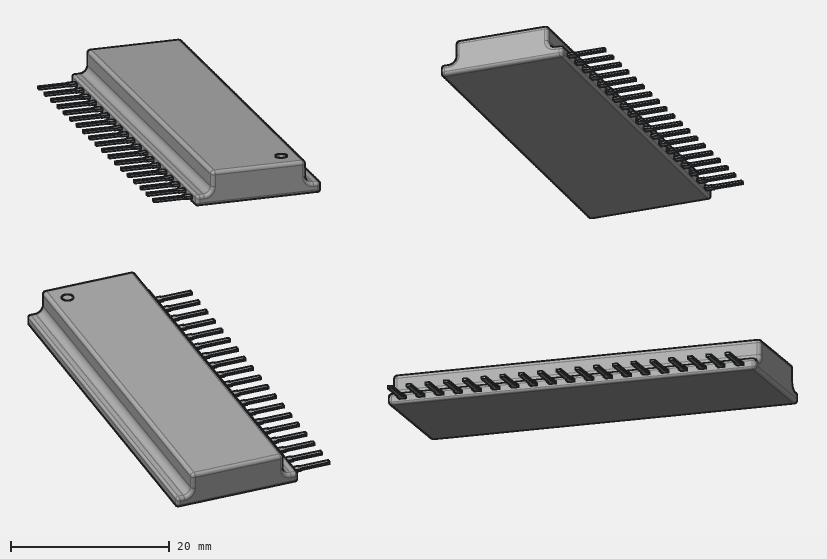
import cadquery as cq

length = 49.0
base_width = 16.6
cover_width = 12.6
base_height = 1.45
total_height = 4.5
cove_radius = 1.0
end_round = 0.5
cover_round = 0.5
base_round = 0.35

pin_count = 19
pin_pitch = 2.5
pin_length = 5.0
pin_width = 0.6
pin_thickness = 0.3
shoulder_length = 1.0
shoulder_width = 0.9
pin_embed = 0.5

mark_diameter = 1.5
mark_depth = 0.1
mark_from_end = 2.85
mark_from_back = 4.35

half_base = base_width / 2
half_cover = cover_width / 2


def make_profile():
    """Cross-section in YZ: a wide base coved up into a narrower cover."""
    cove_top = base_height + cove_radius
    cove_foot = half_cover + cove_radius
    cove_offset = cove_radius * (1 - 0.5 ** 0.5)
    cove_mid = (half_cover + cove_offset, base_height + cove_offset)
    return (
        cq.Workplane("YZ", origin=(-length / 2, 0, 0))
        .moveTo(-half_base, 0)
        .lineTo(half_base, 0)
        .lineTo(half_base, base_height)
        .lineTo(cove_foot, base_height)
        .threePointArc(cove_mid, (half_cover, cove_top))
        .lineTo(half_cover, total_height)
        .lineTo(-half_cover, total_height)
        .lineTo(-half_cover, cove_top)
        .threePointArc((-cove_mid[0], cove_mid[1]), (-cove_foot, base_height))
        .lineTo(-half_base, base_height)
        .close()
    )


def lengthwise_edges(body, half_width, low, high):
    """Lengthwise edges on both sides at +-half_width, between two heights."""
    margin = 0.05
    found = []
    for side in (-1, 1):
        y = side * half_width
        box = cq.selectors.BoxSelector(
            (-length, y - margin, low - margin), (length, y + margin, high + margin)
        )
        found += body.edges("|X").edges(box).vals()
    return body.newObject(found)


def make_body():
    """Extruded profile with rounded long edges, then rounded ends."""
    body = make_profile().extrude(length)
    body = lengthwise_edges(body, half_base, 0, base_height).fillet(base_round)
    body = lengthwise_edges(body, half_cover, total_height, total_height).fillet(cover_round)
    return body.faces("<X or >X").edges().fillet(end_round)


def make_blade(x, width, reach):
    """Flat bar reaching out of the base in -Y, rooted inside the base."""
    depth = reach + pin_embed
    middle_y = -half_base + pin_embed - depth / 2
    bar = cq.Workplane("XY").box(width, depth, pin_thickness)
    return bar.translate((x, middle_y, base_height / 2))


def make_pin(x):
    """Narrow pin with a wider shoulder next to the base."""
    shoulder = make_blade(x, shoulder_width, shoulder_length)
    return shoulder.union(make_blade(x, pin_width, pin_length))


def make_mark():
    """Cutter for the pin-one mark near the +X, +Y corner of the cover."""
    return (
        cq.Workplane("XY", origin=(0, 0, total_height - mark_depth))
        .center(length / 2 - mark_from_end, half_base - mark_from_back)
        .circle(mark_diameter / 2)
        .extrude(mark_depth)
    )


result = make_body().cut(make_mark())
for index in range(pin_count):
    pin_x = (index - (pin_count - 1) / 2) * pin_pitch
    result = result.union(make_pin(pin_x))